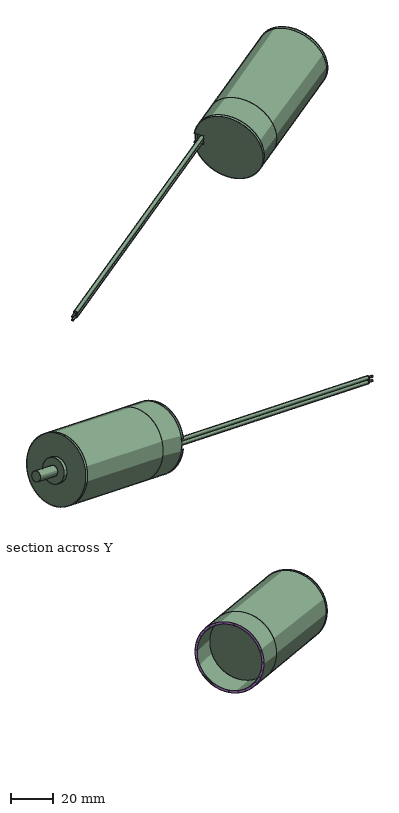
import cadquery as cq

motor_diameter = 36.0
plate_thickness = 1.5
can_length = 56.2
cap_length = 14.0
cap_wall = 1.5

boss_diameter = 13.0
boss_height = 2.0
shaft_diameter = 5.4
shaft_reach = 15.0
overall_length = 233.3

wire_diameter = 2.0
wire_offset = 14.0
conductor_diameter = 1.0
conductor_length = 3.3
notch_width = 5.1
notch_depth = 5.1

can_front = -plate_thickness
can_rear = can_front - can_length
cap_rear = can_rear - cap_length
plate_rear = cap_rear - plate_thickness
wire_tip = shaft_reach - overall_length
insulation_tip = wire_tip + conductor_length

motor_radius = motor_diameter / 2


def rod(diameter, rear, front, x=0.0, z=0.0):
    """Round bar along Y between two Y positions."""
    axis = cq.Plane(origin=(x, rear, z), xDir=(1, 0, 0), normal=(0, 1, 0))
    return cq.Workplane(axis).circle(diameter / 2).extrude(front - rear)


def make_front_plate():
    """Disc with a centre boss, bored right through for the shaft."""
    disc = rod(motor_diameter, can_front, 0)
    boss = rod(boss_diameter, 0, boss_height)
    bore = rod(shaft_diameter, can_front, boss_height)
    return disc.union(boss).cut(bore)


def make_shaft():
    """Output shaft, seated against the front end of the can."""
    return rod(shaft_diameter, can_front, shaft_reach)


def make_can():
    """Plain cylindrical main body."""
    return rod(motor_diameter, can_rear, can_front)


def make_cap():
    """Open ring between the can and the rear plate."""
    ring = rod(motor_diameter, cap_rear, can_rear)
    cavity = rod(motor_diameter - 2 * cap_wall, cap_rear, can_rear)
    return ring.cut(cavity)


def make_rear_plate():
    """End disc with a rectangular notch in its -X edge for the wires."""
    disc = rod(motor_diameter, plate_rear, cap_rear)
    notch = cq.Workplane("XY").box(
        notch_depth, plate_thickness, notch_width, centered=(False, False, True)
    )
    return disc.cut(notch.translate((-motor_radius, plate_rear, 0)))


def make_wire(z):
    """Insulated wire with a thinner bare conductor at its free end."""
    insulation = rod(wire_diameter, insulation_tip, cap_rear, -wire_offset, z)
    conductor = rod(conductor_diameter, wire_tip, insulation_tip, -wire_offset, z)
    return insulation.union(conductor)


front_plate = make_front_plate()
shaft = make_shaft()
can = make_can()
cap = make_cap()
rear_plate = make_rear_plate()
wires = [make_wire(side * wire_diameter / 2) for side in (-1, 1)]

result = cq.Compound.makeCompound(
    [
        front_plate.val(),
        shaft.val(),
        can.val(),
        cap.val(),
        rear_plate.val(),
        *[wire.val() for wire in wires],
    ]
)